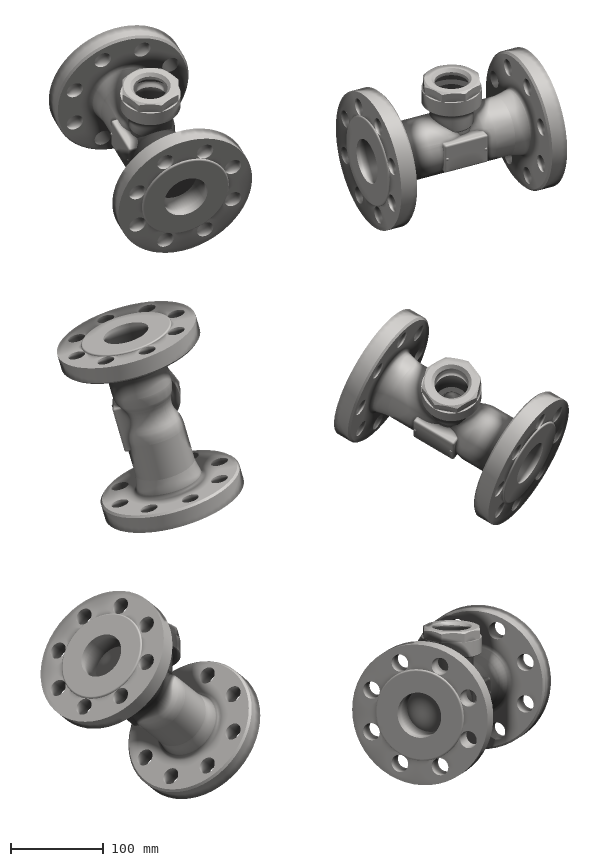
import cadquery as cq
import math

LENGTH = 204.0
FLANGE_D = 155.0
FLANGE_INNER_X = 80.0
FLANGE_CHAMFER = 2.2
FACE_D = 100.8
FACE_HEIGHT = 1.8
BOLT_COUNT = 8
BOLT_HOLE_D = 19.0
BOLT_CIRCLE_D = 120.0
PORT_D = 50.0
PORT_DEPTH = 30.5

TUBE_D = 66.0
NECK_END_X = 60.2
NECK_ROOT_X = 76.0
NECK_ROOT_R = 36.3
FLARE_SAG = 0.5
WAIST_X = 9.8
WAIST_R = 26.3
WAIST_HOLLOW = 11.8
WAIST_HALF = 27.5

BRANCH_D = 47.7
FOOT_NECK_D = 44.5
FOOT_NECK_Z = 21.0
FOOT_TAPER_TOP_Z = 23.3
FOOT_D = 46.1
FOOT_Z = 17.7
COLLAR_D = 56.0
COLLAR_FILLET = 3.0
LEDGE_DEPTH = 18.2
BRANCH_BORE_D = 37.0
STUD_RECESS_D = 25.0
STUD_RECESS_DEPTH = 1.0
STUD_D = 23.0
STUD_CHAMFER = 1.5

PAD_WIDTH = 52.5
PAD_HEIGHT = 34.3
PAD_FRONT_Y = -35.5
PAD_FILLET = 2.2
RIVET_X = 23.3
RIVET_D = 3.5
RIVET_HEIGHT = 1.2
RIVET_FILLET = 1.2

CAP_D = 65.0
CAP_BOTTOM_Z = 47.3
CAP_TOP_Z = 76.0
CAP_EDGE_CHAMFER = 0.8
OCTAGON_BOTTOM_Z = 64.9
OCTAGON_TOP_D = 58.0
OCTAGON_CHAMFER_ANGLE = 30.0
CAP_HOLE_D = 37.0
CAP_HOLE_DEPTH = 7.0
CAP_HOLE_CHAMFER = 3.3

TUBE_R = TUBE_D / 2
FLANGE_OUTER_X = LENGTH / 2 - FACE_HEIGHT
COLLAR_TOP_Z = CAP_TOP_Z - LEDGE_DEPTH
BORE_FLOOR_Z = TUBE_R


def end_neck():
    """Flange, raised face and flared neck at the -X end, revolved about X."""
    rim_middle = (
        -LENGTH / 2 + FACE_HEIGHT * (1 - math.sqrt(0.5)),
        FACE_D / 2 - FACE_HEIGHT * (1 - math.sqrt(0.5)),
    )
    root_fillet = FLANGE_INNER_X - NECK_ROOT_X
    flare_middle = (-(NECK_ROOT_X + NECK_END_X) / 2, (NECK_ROOT_R + TUBE_R) / 2 - FLARE_SAG)
    fillet_middle = (
        -FLANGE_INNER_X + root_fillet * (1 - math.sqrt(0.5)),
        NECK_ROOT_R + root_fillet * (1 - math.sqrt(0.5)),
    )
    return (
        cq.Workplane("XY")
        .moveTo(-LENGTH / 2, 0)
        .lineTo(-LENGTH / 2, FACE_D / 2 - FACE_HEIGHT)
        .threePointArc(rim_middle, (-FLANGE_OUTER_X, FACE_D / 2))
        .lineTo(-FLANGE_OUTER_X, FLANGE_D / 2)
        .lineTo(-FLANGE_INNER_X - FLANGE_CHAMFER, FLANGE_D / 2)
        .lineTo(-FLANGE_INNER_X, FLANGE_D / 2 - FLANGE_CHAMFER)
        .lineTo(-FLANGE_INNER_X, NECK_ROOT_R + root_fillet)
        .threePointArc(fillet_middle, (-NECK_ROOT_X, NECK_ROOT_R))
        .threePointArc(flare_middle, (-NECK_END_X, TUBE_R))
        .lineTo(-NECK_END_X, 0)
        .close()
        .revolve(360, (0, 0, 0), (1, 0, 0))
    )


def waisted_tube():
    """Straight tube that narrows to a smooth waist, revolved about X."""
    turn = 2 * math.atan2(TUBE_R - WAIST_R, WAIST_HALF)
    hollow_rise = WAIST_HOLLOW * math.tan(turn / 2)
    shoulder_radius = (WAIST_HALF - WAIST_HOLLOW) / math.sin(turn)
    shoulder_middle_dx = WAIST_HALF - shoulder_radius * math.sin(turn / 2)
    shoulder_middle_r = TUBE_R - shoulder_radius * (1 - math.cos(turn / 2))
    hollow_r = WAIST_R + hollow_rise
    return (
        cq.Workplane("XY")
        .moveTo(-NECK_END_X, 0)
        .lineTo(-NECK_END_X, TUBE_R)
        .lineTo(WAIST_X - WAIST_HALF, TUBE_R)
        .threePointArc((WAIST_X - shoulder_middle_dx, shoulder_middle_r), (WAIST_X - WAIST_HOLLOW, hollow_r))
        .threePointArc((WAIST_X, WAIST_R), (WAIST_X + WAIST_HOLLOW, hollow_r))
        .threePointArc((WAIST_X + shoulder_middle_dx, shoulder_middle_r), (WAIST_X + WAIST_HALF, TUBE_R))
        .lineTo(NECK_END_X, TUBE_R)
        .lineTo(NECK_END_X, 0)
        .close()
        .revolve(360, (0, 0, 0), (1, 0, 0))
    )


def branch():
    """Upright branch with its collar, revolved about Z."""
    radius = BRANCH_D / 2
    fillet_middle = (
        radius + COLLAR_FILLET * (1 - math.sqrt(0.5)),
        CAP_BOTTOM_Z - COLLAR_FILLET * (1 - math.sqrt(0.5)),
    )
    return (
        cq.Workplane("XZ")
        .lineTo(FOOT_D / 2, 0)
        .lineTo(FOOT_D / 2, FOOT_Z)
        .lineTo(FOOT_NECK_D / 2, FOOT_NECK_Z)
        .lineTo(radius, FOOT_TAPER_TOP_Z)
        .lineTo(radius, CAP_BOTTOM_Z - COLLAR_FILLET)
        .threePointArc(fillet_middle, (radius + COLLAR_FILLET, CAP_BOTTOM_Z))
        .lineTo(COLLAR_D / 2, CAP_BOTTOM_Z)
        .lineTo(COLLAR_D / 2, COLLAR_TOP_Z)
        .lineTo(0, COLLAR_TOP_Z)
        .close()
        .revolve(360, (0, 0, 0), (0, 1, 0))
    )


def name_plate_pad():
    """Pad with rounded front and corners, and a rivet head near each end."""
    depth = -PAD_FRONT_Y
    pad = cq.Workplane("XY").box(PAD_WIDTH, depth, PAD_HEIGHT).translate((0, PAD_FRONT_Y / 2, 0))
    pad = pad.edges("|Y").fillet(PAD_FILLET).faces("<Y").edges().fillet(PAD_FILLET)
    for x in (-RIVET_X, RIVET_X):
        rivet = (
            cq.Workplane("XZ", origin=(x, 0, 0))
            .circle(RIVET_D / 2)
            .extrude(depth + RIVET_HEIGHT)
            .faces("<Y")
            .fillet(RIVET_FILLET)
        )
        pad = pad.union(rivet)
    return pad


def flange_cuts():
    """Bolt holes through the -X flange and its blind port."""
    bolt_holes = (
        cq.Workplane("YZ", origin=(-LENGTH / 2, 0, 0))
        .polarArray(BOLT_CIRCLE_D / 2, 180 / BOLT_COUNT, 360, BOLT_COUNT)
        .circle(BOLT_HOLE_D / 2)
        .extrude(LENGTH / 2 - FLANGE_INNER_X)
    )
    port = cq.Workplane("YZ", origin=(-LENGTH / 2, 0, 0)).circle(PORT_D / 2).extrude(PORT_DEPTH)
    return bolt_holes.union(port)


def branch_bore():
    """Bore down the branch, with a shallow recess in its floor."""
    recess_z = BORE_FLOOR_Z - STUD_RECESS_DEPTH
    bore = cq.Workplane("XY", origin=(0, 0, BORE_FLOOR_Z)).circle(BRANCH_BORE_D / 2)
    recess = cq.Workplane("XY", origin=(0, 0, recess_z)).circle(STUD_RECESS_D / 2)
    return bore.extrude(COLLAR_TOP_Z - BORE_FLOOR_Z).union(recess.extrude(STUD_RECESS_DEPTH))


def domed_stud():
    """Stud with a round top that rises from the recess in the bore's floor."""
    base_z = BORE_FLOOR_Z - STUD_RECESS_DEPTH
    chamfer_z = BORE_FLOOR_Z
    dome_r = STUD_D / 2 - STUD_CHAMFER
    dome_z = chamfer_z + STUD_CHAMFER
    return (
        cq.Workplane("XZ")
        .moveTo(0, base_z)
        .lineTo(STUD_D / 2, base_z)
        .lineTo(STUD_D / 2, chamfer_z)
        .lineTo(dome_r, dome_z)
        .threePointArc((dome_r * math.sqrt(0.5), dome_z + dome_r * math.sqrt(0.5)), (0, dome_z + dome_r))
        .close()
        .revolve(360, (0, 0, 0), (0, 1, 0))
    )


def make_housing():
    neck = end_neck()
    cuts = flange_cuts()
    housing = waisted_tube().union(neck).union(neck.mirror("YZ"))
    housing = housing.union(branch()).union(name_plate_pad())
    housing = housing.cut(cuts).cut(cuts.mirror("YZ"))
    return housing.cut(branch_bore()).union(domed_stud())


def make_cap():
    """Cap with an octagonal top, open through the middle, that covers the collar."""
    ring = (
        cq.Workplane("XY", origin=(0, 0, CAP_BOTTOM_Z))
        .circle(CAP_D / 2)
        .extrude(OCTAGON_BOTTOM_Z - CAP_BOTTOM_Z)
        .faces("<Z")
        .chamfer(CAP_EDGE_CHAMFER)
    )
    octagon = (
        cq.Workplane("XY", origin=(0, 0, OCTAGON_BOTTOM_Z))
        .polygon(8, CAP_D)
        .extrude(CAP_TOP_Z - OCTAGON_BOTTOM_Z)
    )
    top_chamfer_run = (CAP_D - OCTAGON_TOP_D) / 2
    top_chamfer_drop = top_chamfer_run * math.tan(math.radians(OCTAGON_CHAMFER_ANGLE))
    chamfered_blank = (
        cq.Workplane("XY", origin=(0, 0, OCTAGON_BOTTOM_Z))
        .circle(CAP_D / 2)
        .extrude(CAP_TOP_Z - OCTAGON_BOTTOM_Z)
        .faces(">Z")
        .chamfer(top_chamfer_drop, top_chamfer_run)
    )
    hole_bottom_z = CAP_TOP_Z - CAP_HOLE_DEPTH
    opening = (
        cq.Workplane("XZ")
        .moveTo(0, CAP_BOTTOM_Z)
        .lineTo(COLLAR_D / 2, CAP_BOTTOM_Z)
        .lineTo(COLLAR_D / 2, hole_bottom_z)
        .lineTo(CAP_HOLE_D / 2, hole_bottom_z)
        .lineTo(CAP_HOLE_D / 2, CAP_TOP_Z - CAP_HOLE_CHAMFER)
        .lineTo(CAP_HOLE_D / 2 + CAP_HOLE_CHAMFER, CAP_TOP_Z)
        .lineTo(0, CAP_TOP_Z)
        .close()
        .revolve(360, (0, 0, 0), (0, 1, 0))
    )
    return ring.union(octagon.intersect(chamfered_blank)).cut(opening)


housing = make_housing()
cap = make_cap()
result = cq.Compound.makeCompound([housing.val(), cap.val()])